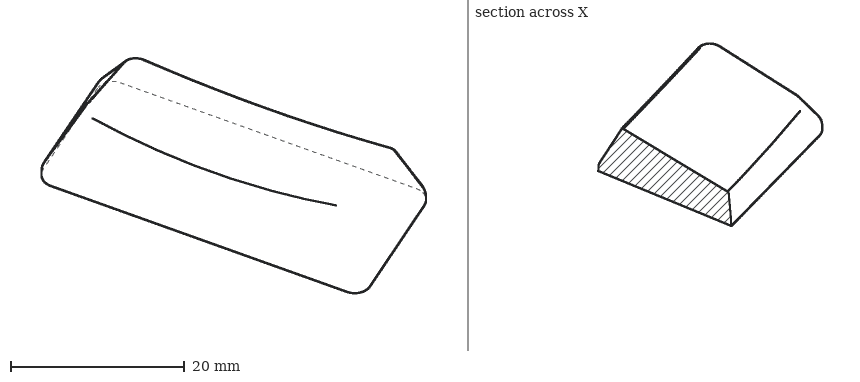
import cadquery as cq
import math

length = 41.95
width = 18.17
base_corner_radius = 1.97

skirt_height = 1.0
skirt_blend_radius = 1.55
blend_steps = 3

side_inset = 3.7
front_inset = 3.95
back_inset = 0.4
front_rim_height = 9.53
back_rim_height = 6.05
top_corner_radius = 1.8
rim_round_radius = 0.2

front_dish_depth = 1.6
back_dish_depth = 1.0
dish_overrun = 4.2
dish_headroom = 8.4

wall_overshoot = 1.12

front_rim_y = -width / 2 + front_inset
back_rim_y = width / 2 - back_inset


def sloped_plane(front, back):
    """Plane through two lines along X given by their (y, z), local y running front to back."""
    (front_y, front_z), (back_y, back_z) = front, back
    return cq.Plane(
        origin=(0, front_y, front_z),
        xDir=(1, 0, 0),
        normal=(0, front_z - back_z, back_y - front_y),
    )


def make_section(front, back, corner_radius):
    """Rounded outline between a front and a back edge, each given as (half length, y, z)."""
    front_half, front_y, front_z = front
    back_half, back_y, back_z = back
    depth = math.hypot(back_y - front_y, back_z - front_z)
    corners = [(-front_half, 0), (front_half, 0), (back_half, depth), (-back_half, depth)]
    outline = cq.Sketch().polygon(corners + corners[:1]).vertices().fillet(corner_radius)
    plane = sloped_plane((front_y, front_z), (back_y, back_z))
    return outline.moved(cq.Location(plane))


def loft_sections(sections, ruled):
    return cq.Workplane().placeSketch(*sections).loft(ruled=ruled)


def wall_edge(end_inset, rim_height, fraction, facing):
    """Edge across the front (facing -1) or back (facing 1), partway up from skirt to rim."""
    half_length = length / 2 - side_inset * fraction
    y = facing * (width / 2 - end_inset * fraction)
    z = skirt_height + (rim_height - skirt_height) * fraction
    return half_length, y, z


def blend_edge(end_inset, rim_height, turn, facing):
    """Edge across the front or back on the skirt blend, from upright (turn 0) to wall (turn 1)."""
    wall_angle = math.atan2(side_inset, rim_height - skirt_height)
    angle = wall_angle * turn
    inset = skirt_blend_radius * (1 - math.cos(angle))
    start_height = skirt_height - skirt_blend_radius * math.tan(wall_angle / 2)
    half_length = length / 2 - inset
    y = facing * (width / 2 - end_inset * inset / side_inset)
    z = start_height + skirt_blend_radius * math.sin(angle)
    return half_length, y, z


def blend_section(turn):
    front = blend_edge(front_inset, front_rim_height, turn, -1)
    back = blend_edge(back_inset, back_rim_height, turn, 1)
    return make_section(front, back, base_corner_radius)


def make_body():
    base = make_section((length / 2, -width / 2, 0), (length / 2, width / 2, 0), base_corner_radius)
    blend = [blend_section(step / blend_steps) for step in range(blend_steps + 1)]
    front = wall_edge(front_inset, front_rim_height, wall_overshoot, -1)
    back = wall_edge(back_inset, back_rim_height, wall_overshoot, 1)
    wall_top = make_section(front, back, top_corner_radius)
    skirt = loft_sections([base, blend[0]], ruled=True)
    blend_band = loft_sections(blend, ruled=False)
    walls = loft_sections([blend[-1], wall_top], ruled=True)
    return skirt.union(blend_band).union(walls)


def dish_profile(plane, depth, distance):
    """Arc-bottomed outline across the slope, placed at a distance up it from the front rim."""
    half_span = length / 2
    rim_half_length = half_span - side_inset
    edge_rise = depth * ((half_span / rim_half_length) ** 2 - 1)
    return (
        cq.Workplane(plane)
        .transformed(rotate=(90, 0, 0), offset=(0, distance, 0))
        .moveTo(-half_span, edge_rise)
        .threePointArc((0, -depth), (half_span, edge_rise))
        .lineTo(half_span, dish_headroom)
        .lineTo(-half_span, dish_headroom)
        .close()
        .val()
    )


def make_dish_cutter():
    """Trough through the four corners of the rim, its depth changing evenly from front to back."""
    plane = sloped_plane((front_rim_y, front_rim_height), (back_rim_y, back_rim_height))
    slope_length = math.hypot(back_rim_y - front_rim_y, back_rim_height - front_rim_height)
    end_change = (back_dish_depth - front_dish_depth) * dish_overrun / slope_length
    profiles = [
        dish_profile(plane, front_dish_depth - end_change, -dish_overrun),
        dish_profile(plane, back_dish_depth + end_change, slope_length + dish_overrun),
    ]
    return cq.Workplane(cq.Solid.makeLoft(profiles, True))


dished_body = make_body().cut(make_dish_cutter())
result = dished_body.faces(">Z").edges().fillet(rim_round_radius)